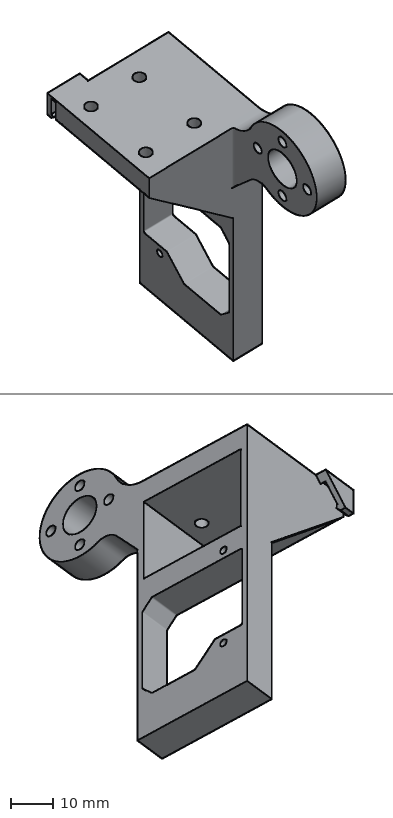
import cadquery as cq
import math

overall_width = 67.7
overall_height = 90.9
body_left = 3.1
body_right = 37.3
depth = 35.0
plate_thickness = 9.0
wall_thickness = 2.0
shelf_thickness = 6.5
cheek_bottom = 48.0
window_bottom = 48.35

head_radius = 12.5
head_x = overall_width - head_radius
head_z = overall_height - head_radius
bore_diameter = 10.45
head_hole_diameter = 2.9
head_hole_circle_radius = 9.0
arm_upper_radius = 9.0
arm_lower_radius = 5.0
arm_foot_z = 58.3
arm_slope = math.radians(49.5)
arm_root_fillet = 0.5

body_top = head_z
shelf_bottom = body_top - shelf_thickness
body_width = body_right - body_left

head_center = (head_x, head_z)
upper_center_distance = head_radius + arm_upper_radius
upper_arc_x = head_x - math.sqrt(upper_center_distance**2 - arm_upper_radius**2)
upper_arc_center = (upper_arc_x, body_top + arm_upper_radius)

clip_height = 7.2
clip_length = 10.1
clip_wall = 1.5
clip_roof_front = 0.7
clip_roof_back = 1.7
barb_reach = 0.7
barb_half_height = 0.6

shelf_hole_diameter = 3.3
shelf_hole_x = 10.1
shelf_hole_front_margin = 5.0
shelf_hole_y = shelf_hole_front_margin - depth
shelf_hole_pitch_x = 20.0
shelf_hole_pitch_y = 15.0

opening_left = 4.6
opening_right = 35.7
opening_top = 41.35
opening_bottom = 12.1
opening_chamfer = 3.0
opening_corner_radius = 0.5
ledge_z = 18.1
ledge_end_x = 13.1
ramp_end_x = 19.4
plate_hole_diameter = 2.0
plate_hole_x = 10.45
plate_hole_heights = (15.5, 43.8)


def front_sketch():
    """Workplane on the back face; extrusion goes towards the front (-Y)."""
    return cq.Workplane("XZ")


def side_sketch(x):
    """Workplane in the YZ plane at the given X; extrusion goes towards +X."""
    return cq.Workplane("YZ", origin=(x, 0, 0))


def make_body():
    profile = [
        (0, 0),
        (0, body_top),
        (-depth, body_top),
        (-depth, shelf_bottom),
        (-plate_thickness, cheek_bottom),
        (-plate_thickness, 0),
    ]
    body = side_sketch(body_left).polyline(profile).close().extrude(body_width)
    window = cq.Workplane().box(
        body_width - 2 * wall_thickness, depth, shelf_bottom - window_bottom, centered=False
    )
    window = window.translate((body_left + wall_thickness, -depth, window_bottom))
    return body.cut(window)


def polar(center, radius, angle):
    return (center[0] + radius * math.cos(angle), center[1] + radius * math.sin(angle))


def make_arm_solid(length):
    """Head disc with its neck, of the given Y length; both neck arcs are tangent to the disc."""
    upper_end_angle = math.atan2(head_z - upper_arc_center[1], head_x - upper_arc_center[0])
    upper_end = polar(upper_arc_center, arm_upper_radius, upper_end_angle)
    upper_mid = polar(upper_arc_center, arm_upper_radius, (upper_end_angle - math.pi / 2) / 2)

    foot = (body_right, arm_foot_z)
    offset_foot = polar(foot, arm_lower_radius, arm_slope - math.pi / 2)
    to_head = (head_x - offset_foot[0], head_z - offset_foot[1])
    along = to_head[0] * math.cos(arm_slope) + to_head[1] * math.sin(arm_slope)
    across = to_head[1] * math.cos(arm_slope) - to_head[0] * math.sin(arm_slope)
    edge_length = along - math.sqrt((head_radius + arm_lower_radius) ** 2 - across**2)
    lower_center = polar(offset_foot, edge_length, arm_slope)
    lower_start = polar(foot, edge_length, arm_slope)
    lower_start_angle = arm_slope + math.pi / 2
    lower_end_angle = math.atan2(head_z - lower_center[1], head_x - lower_center[0])
    lower_mid = polar(lower_center, arm_lower_radius, (lower_start_angle + lower_end_angle) / 2)
    lower_end = polar(lower_center, arm_lower_radius, lower_end_angle)

    return (
        front_sketch()
        .moveTo(upper_arc_x, arm_foot_z)
        .lineTo(*foot)
        .lineTo(*lower_start)
        .threePointArc(lower_mid, lower_end)
        .threePointArc((head_x + head_radius, head_z), upper_end)
        .threePointArc(upper_mid, (upper_arc_x, body_top))
        .close()
        .extrude(length)
    )


def make_arm_root_fillet():
    """Concave fillet between the arm's front face and the right cheek, trimmed to the arm."""
    front_y = -plate_thickness
    center = (body_right + arm_root_fillet, front_y - arm_root_fillet)
    strip = (
        cq.Workplane("XY")
        .moveTo(body_right, front_y)
        .lineTo(center[0], front_y)
        .threePointArc(polar(center, arm_root_fillet, 3 * math.pi / 4), (body_right, center[1]))
        .close()
        .extrude(head_z + head_radius)
    )
    return strip.intersect(make_arm_solid(plate_thickness + arm_root_fillet))


def make_top_lip():
    """Start of the upper arm arc, carried along the whole right edge of the shelf."""
    end_angle = -math.acos((body_right - upper_arc_x) / arm_upper_radius)
    end = polar(upper_arc_center, arm_upper_radius, end_angle)
    mid = polar(upper_arc_center, arm_upper_radius, (end_angle - math.pi / 2) / 2)
    return (
        front_sketch()
        .moveTo(upper_arc_x, body_top)
        .threePointArc(mid, end)
        .lineTo(body_right, shelf_bottom)
        .lineTo(upper_arc_x, shelf_bottom)
        .close()
        .extrude(depth)
    )


def make_clip():
    """Hanging hook with a 45 degree back face and an inward barb."""
    clip_bottom = body_top - clip_height
    back_y = clip_length - depth
    blank_profile = [
        (-depth, body_top),
        (back_y, body_top),
        (back_y - clip_height, clip_bottom),
        (-depth, clip_bottom),
    ]
    blank = side_sketch(0).polyline(blank_profile).close().extrude(body_left)

    slot_back_y = back_y - clip_roof_back
    roof_drop = clip_roof_back - clip_roof_front
    slot_profile = [
        (-depth, body_top - clip_roof_front),
        (slot_back_y - roof_drop, body_top - clip_roof_front),
        (slot_back_y, body_top - clip_roof_back),
        (slot_back_y, clip_bottom),
        (-depth, clip_bottom),
    ]
    slot = side_sketch(clip_wall).polyline(slot_profile).close().extrude(body_left - clip_wall)

    barb_profile = [
        (clip_wall, clip_bottom),
        (clip_wall + barb_reach, clip_bottom + barb_half_height),
        (clip_wall, clip_bottom + 2 * barb_half_height),
    ]
    barb = front_sketch().polyline(barb_profile).close().extrude(depth).intersect(blank)
    return blank.cut(slot).union(barb)


def make_opening():
    outline = [
        (opening_left, opening_top),
        (opening_right - opening_chamfer, opening_top),
        (opening_right, opening_top - opening_chamfer),
        (opening_right, opening_bottom + opening_chamfer),
        (opening_right - opening_chamfer, opening_bottom),
        (ramp_end_x, opening_bottom),
        (ledge_end_x, ledge_z),
        (opening_left, ledge_z),
    ]
    opening = front_sketch().polyline(outline).close().extrude(plate_thickness)
    return opening.edges("|Y").fillet(opening_corner_radius)


def holes_through_plate(centers, diameter):
    return front_sketch().pushPoints(centers).circle(diameter / 2).extrude(plate_thickness)


def make_shelf_holes():
    centers = [
        (shelf_hole_x + column * shelf_hole_pitch_x, shelf_hole_y + row * shelf_hole_pitch_y)
        for column in range(2)
        for row in range(2)
    ]
    holes = cq.Workplane("XY", origin=(0, 0, shelf_bottom)).pushPoints(centers)
    return holes.circle(shelf_hole_diameter / 2).extrude(shelf_thickness)


head_holes = [
    polar(head_center, head_hole_circle_radius, quarter * math.pi / 2) for quarter in range(4)
]
plate_holes = [(plate_hole_x, height) for height in plate_hole_heights]

body = make_body().cut(make_opening()).cut(make_shelf_holes())
body = body.cut(holes_through_plate(plate_holes, plate_hole_diameter))

arm = make_arm_solid(plate_thickness).cut(holes_through_plate([head_center], bore_diameter))
arm = arm.cut(holes_through_plate(head_holes, head_hole_diameter))

result = body.union(make_top_lip()).union(arm).union(make_arm_root_fillet()).union(make_clip())